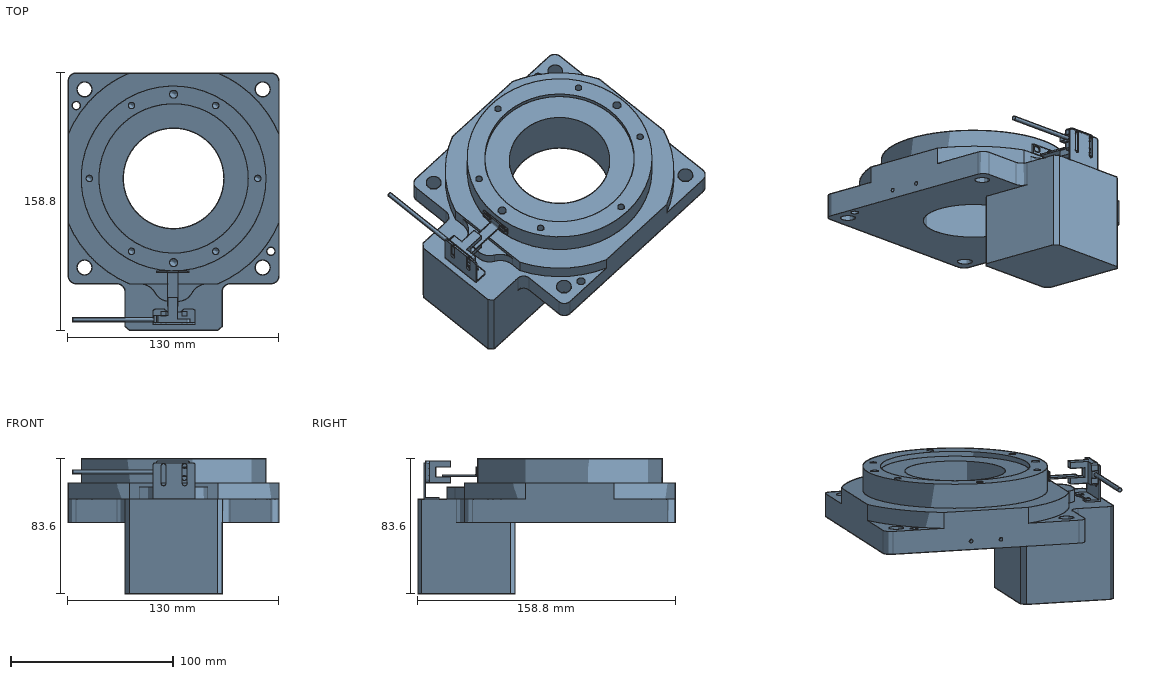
import cadquery as cq
import math


base_size = 130.0
base_half = base_size / 2
base_thickness = 14.5
base_corner_radius = 5.0
disc_radius = 70.5
disc_height = 10.0
table_radius = 57.0
table_height = 15.1
disc_top = base_thickness + disc_height
table_top = disc_top + table_height
bore_radius = 31.0
recess_radius = 46.0
recess_depth = 3.0

mount_hole_pitch = 109.9
mount_hole_diameter = 9.0
dowel_x = 60.0
dowel_y = 45.0
dowel_diameter = 5.0
table_hole_circle_radius = 52.0
table_hole_count = 6
table_hole_diameter = 4.0
table_pin_hole_diameter = 5.0
table_hole_depth = 8.0
drill_point_angle = 118
side_hole_pitch = 19.2
side_hole_diameter = 2.2
side_hole_z = 5.4
side_hole_depth = 4.8

total_length = 158.8
motor_size = 60.0
motor_drop = 44.0
motor_front_y = base_half - total_length
motor_rear_y = motor_front_y + motor_size
motor_chamfer_x = 2.9
motor_front_chamfer_y = 2.4
motor_rear_chamfer_y = 3.0
boss_half_width = 21.0
boss_depth = 10.8
boss_height = 7.5
boss_foot_radius = 11.1
boss_crown_radius = 9.8

flag_x = -0.5
flag_sheet = 1.0
flag_bend_radius = 0.8
flag_inner_bend_radius = 0.5
flag_width = 20.0
flag_height = 6.0
flag_bottom = 28.5
tongue_width = 6.5
tongue_end_y = -78.6
flag_slot_pitch = 12.7
flag_slot_length = 5.5
flag_slot_height = 3.5
flag_slot_z = flag_bottom + 3.5

bracket_x = 0.3
bracket_width = 26.0
bracket_height = 22.4
bracket_sheet = 1.1
bracket_foot_length = 9.4
bracket_bend_radius = 0.5
foot_slot_width = 3.0
foot_slot_length = 2.9
foot_slot_inset = 1.5
foot_notch_outer_width = 12.0
foot_notch_inner_width = 8.3
foot_notch_depth = 1.6
bracket_front_y = -90.0
bracket_corner_radius = 1.5
bracket_slot_pitch = 13.0
bracket_slot_width = 3.0
bracket_slot_length = 13.7
bracket_slot_top_margin = 0.5

sensor_z = 31.3
sensor_height = 13.7
sensor_left_x = -10.6
sensor_right_x = 10.0
sensor_front_y = bracket_front_y + bracket_sheet
sensor_left_thickness = 4.3
sensor_right_thickness = 2.2
sensor_left_chamfer = 1.0
sensor_right_radius = 1.7
stem_left_x = -3.5
stem_right_x = 2.5
stem_end_y = -73.5
gap_height = 6.0
gap_back_y = -82.7
ear_hole_x = 6.7
ear_hole_pitch = 7.5
ear_hole_diameter = 3.0
cable_block_length = 1.5
cable_block_height = 4.5
cable_diameter = 2.5
cable_y = -87.2
cable_end_x = -62.2


def box(x_range, y_range, z_range):
    """Axis-aligned box given by its (low, high) limits along each axis."""
    lows, highs = zip(x_range, y_range, z_range)
    sizes = [high - low for low, high in zip(lows, highs)]
    return cq.Workplane("XY").box(*sizes, centered=False).translate(lows)


def make_base():
    """Square base plate with the raised disc trimmed by the same square."""
    plate = (
        cq.Workplane("XY")
        .rect(base_size, base_size)
        .extrude(base_thickness)
        .edges("|Z")
        .fillet(base_corner_radius)
    )
    square = cq.Workplane("XY").rect(base_size, base_size).extrude(disc_top)
    disc = cq.Workplane("XY").circle(disc_radius).extrude(disc_top).intersect(square)
    table = cq.Workplane("XY").workplane(offset=disc_top).circle(table_radius).extrude(table_height)
    return plate.union(disc).union(table)


def make_motor():
    """Motor housing: a square block with bevelled vertical corners."""
    half = motor_size / 2
    flat = half - motor_chamfer_x
    front_side_y = motor_front_y + motor_front_chamfer_y
    rear_side_y = motor_rear_y - motor_rear_chamfer_y
    return (
        cq.Workplane("XY")
        .workplane(offset=-motor_drop)
        .moveTo(-flat, motor_front_y)
        .lineTo(flat, motor_front_y)
        .lineTo(half, front_side_y)
        .lineTo(half, rear_side_y)
        .lineTo(flat, motor_rear_y)
        .lineTo(-flat, motor_rear_y)
        .lineTo(-half, rear_side_y)
        .lineTo(-half, front_side_y)
        .close()
        .extrude(motor_drop + base_thickness)
    )


def make_boss():
    """Bell-shaped boss on the motor: concave foot arcs running tangent into crown arcs."""
    sweep = math.acos(1 - boss_depth / (boss_foot_radius + boss_crown_radius))
    front_y = -base_half
    join_x = boss_half_width - boss_foot_radius * math.sin(sweep)
    join_y = front_y - boss_foot_radius * (1 - math.cos(sweep))
    crown_x = join_x - boss_crown_radius * math.sin(sweep)
    crown_y = front_y - boss_depth
    foot_mid_x = boss_half_width - boss_foot_radius * math.sin(sweep / 2)
    foot_mid_y = front_y - boss_foot_radius * (1 - math.cos(sweep / 2))
    crown_mid_x = crown_x + boss_crown_radius * math.sin(sweep / 2)
    crown_mid_y = crown_y + boss_crown_radius * (1 - math.cos(sweep / 2))
    return (
        cq.Workplane("XY")
        .workplane(offset=base_thickness)
        .moveTo(boss_half_width, front_y)
        .threePointArc((foot_mid_x, foot_mid_y), (join_x, join_y))
        .threePointArc((crown_mid_x, crown_mid_y), (crown_x, crown_y))
        .lineTo(-crown_x, crown_y)
        .threePointArc((-crown_mid_x, crown_mid_y), (-join_x, join_y))
        .threePointArc((-foot_mid_x, foot_mid_y), (-boss_half_width, front_y))
        .close()
        .extrude(boss_height)
    )


def make_table_hole(diameter, x, y):
    """Blind drilled hole with a conical bottom, sunk from the turntable top."""
    radius = diameter / 2
    point_depth = radius / math.tan(math.radians(drill_point_angle / 2))
    profile = [(0, 0), (radius, 0), (radius, -table_hole_depth), (0, -table_hole_depth - point_depth)]
    hole = cq.Workplane("XZ").polyline(profile).close().revolve(360, (0, 0), (0, 1))
    return hole.translate((x, y, table_top))


def cut_table_holes(stage):
    """Ring of holes around the turntable, plus two larger ones on the Y axis."""
    for index in range(table_hole_count):
        angle = index * 2 * math.pi / table_hole_count
        x = table_hole_circle_radius * math.cos(angle)
        y = table_hole_circle_radius * math.sin(angle)
        stage = stage.cut(make_table_hole(table_hole_diameter, x, y))
    for y in (-table_hole_circle_radius, table_hole_circle_radius):
        stage = stage.cut(make_table_hole(table_pin_hole_diameter, 0, y))
    return stage


def cut_base_holes(stage):
    """Corner mounting holes, two diagonal dowel holes and two holes in the -X side."""
    mount_holes = (
        cq.Workplane("XY")
        .rect(mount_hole_pitch, mount_hole_pitch, forConstruction=True)
        .vertices()
        .circle(mount_hole_diameter / 2)
        .extrude(disc_top)
    )
    dowel_holes = (
        cq.Workplane("XY")
        .pushPoints([(-dowel_x, dowel_y), (dowel_x, -dowel_y)])
        .circle(dowel_diameter / 2)
        .extrude(disc_top)
    )
    side_holes = (
        cq.Workplane("YZ")
        .workplane(offset=-base_half)
        .pushPoints([(-side_hole_pitch / 2, side_hole_z), (side_hole_pitch / 2, side_hole_z)])
        .circle(side_hole_diameter / 2)
        .extrude(side_hole_depth)
    )
    return stage.cut(mount_holes).cut(dowel_holes).cut(side_holes)


def make_neck_fillet(side):
    """Concave fillet between the base front and the motor flank; side is -1 or +1."""
    radius = base_corner_radius
    inner_x = side * motor_size / 2
    outer_x = inner_x + side * radius
    bulge = radius * (1 - math.sqrt(0.5))
    return (
        cq.Workplane("XY")
        .moveTo(inner_x, -base_half)
        .lineTo(outer_x, -base_half)
        .threePointArc(
            (inner_x + side * bulge, -base_half - bulge),
            (inner_x, -base_half - radius),
        )
        .close()
        .extrude(base_thickness)
    )


def make_stage():
    stage = make_base().union(make_motor()).union(make_boss())
    for side in (-1, 1):
        stage = stage.union(make_neck_fillet(side))
    bore = (
        cq.Workplane("XY")
        .workplane(offset=-motor_drop)
        .circle(bore_radius)
        .extrude(motor_drop + table_top)
    )
    recess = cq.Workplane("XY").workplane(offset=table_top).circle(recess_radius).extrude(-recess_depth)
    stage = stage.cut(bore).cut(recess)
    return cut_base_holes(cut_table_holes(stage))


def make_flag():
    """Bent sheet flag: slotted plate against the turntable and a tongue towards the sensor."""
    plate_back_y = -table_radius
    plate_front_y = plate_back_y - flag_sheet
    plate = box(
        (flag_x - flag_width / 2, flag_x + flag_width / 2),
        (plate_front_y, plate_back_y),
        (flag_bottom, flag_bottom + flag_height),
    )
    tongue = box(
        (flag_x - tongue_width / 2, flag_x + tongue_width / 2),
        (tongue_end_y, plate_back_y),
        (flag_bottom, flag_bottom + flag_sheet),
    )
    slot_offset = flag_slot_pitch / 2
    slots = (
        cq.Workplane("XZ", origin=(flag_x, plate_back_y, flag_slot_z))
        .pushPoints([(-slot_offset, 0), (slot_offset, 0)])
        .slot2D(flag_slot_length, flag_slot_height)
        .extrude(flag_sheet)
    )
    return round_bend(plate.cut(slots).union(tongue), plate_back_y, plate_front_y)


def round_bend(flag, plate_back_y, plate_front_y):
    """Round the outside and the inside of the fold between plate and tongue."""
    outer_fold = cq.NearestToPointSelector((flag_x, plate_back_y, flag_bottom))
    inner_fold = cq.NearestToPointSelector((flag_x, plate_front_y, flag_bottom + flag_sheet))
    flag = flag.edges(outer_fold).fillet(flag_bend_radius)
    return flag.edges(inner_fold).fillet(flag_inner_bend_radius)


def make_bracket():
    """Angle bracket: upright sheet with two slots, standing on a foot on the motor."""
    half = bracket_width / 2
    x_range = (bracket_x - half, bracket_x + half)
    bottom = base_thickness
    top = bottom + bracket_height
    upright = (
        box(x_range, (bracket_front_y, sensor_front_y), (bottom, top))
        .edges("|Y and >Z")
        .fillet(bracket_corner_radius)
    )
    foot_end_y = bracket_front_y + bracket_foot_length
    foot = (
        box(x_range, (bracket_front_y, foot_end_y), (bottom, bottom + bracket_sheet))
        .edges("|Z and >Y")
        .fillet(bracket_corner_radius)
    )
    slot_offset = bracket_slot_pitch / 2
    slot_z = top - bracket_slot_top_margin - bracket_slot_length / 2
    slots = (
        cq.Workplane("XZ", origin=(bracket_x, sensor_front_y, slot_z))
        .pushPoints([(-slot_offset, 0), (slot_offset, 0)])
        .slot2D(bracket_slot_length, bracket_slot_width, 90)
        .extrude(bracket_sheet)
    )
    foot = cut_foot(foot, foot_end_y)
    return upright.cut(slots).union(foot).edges("|X and <Y and <Z").fillet(bracket_bend_radius)


def cut_foot(foot, foot_end_y):
    """Two rectangular slots and a shallow tapered notch in the rear edge of the bracket foot."""
    slot_offset = bracket_slot_pitch / 2
    slot_y = foot_end_y - foot_slot_inset - foot_slot_length / 2
    plane = cq.Workplane("XY", origin=(bracket_x, 0, base_thickness))
    slots = (
        plane.pushPoints([(-slot_offset, slot_y), (slot_offset, slot_y)])
        .rect(foot_slot_width, foot_slot_length)
        .extrude(bracket_sheet)
    )
    notch = (
        plane.moveTo(-foot_notch_outer_width / 2, foot_end_y)
        .lineTo(-foot_notch_inner_width / 2, foot_end_y - foot_notch_depth)
        .lineTo(foot_notch_inner_width / 2, foot_end_y - foot_notch_depth)
        .lineTo(foot_notch_outer_width / 2, foot_end_y)
        .close()
        .extrude(bracket_sheet)
    )
    return foot.cut(slots).cut(notch)


def make_sensor():
    """Slotted sensor: flange against the bracket, forked stem and cable."""
    z_range = (sensor_z - sensor_height / 2, sensor_z + sensor_height / 2)
    gap_z_range = (sensor_z - gap_height / 2, sensor_z + gap_height / 2)
    left_rear_y = sensor_front_y + sensor_left_thickness
    right_rear_y = sensor_front_y + sensor_right_thickness

    left_ear = (
        box((sensor_left_x, stem_right_x), (sensor_front_y, left_rear_y), z_range)
        .edges("|Y and <X")
        .chamfer(sensor_left_chamfer)
    )
    right_ear = (
        box((stem_left_x, sensor_right_x), (sensor_front_y, right_rear_y), z_range)
        .edges("|Y and >X")
        .fillet(sensor_right_radius)
    )
    ear_holes = (
        cq.Workplane("XZ", origin=(ear_hole_x, right_rear_y, sensor_z))
        .pushPoints([(0, -ear_hole_pitch / 2), (0, ear_hole_pitch / 2)])
        .circle(ear_hole_diameter / 2)
        .extrude(sensor_right_thickness)
    )
    right_ear = right_ear.cut(ear_holes)

    stem = box((stem_left_x, stem_right_x), (sensor_front_y, stem_end_y), z_range)
    gap = box((stem_left_x, stem_right_x), (gap_back_y, stem_end_y), gap_z_range)
    sensor = left_ear.union(right_ear).union(stem.cut(gap))

    cable_block = box(
        (sensor_left_x - cable_block_length, sensor_left_x),
        (sensor_front_y, left_rear_y),
        (sensor_z - cable_block_height / 2, sensor_z + cable_block_height / 2),
    )
    cable = (
        cq.Workplane("YZ", origin=(cable_end_x, cable_y, sensor_z))
        .circle(cable_diameter / 2)
        .extrude(sensor_left_x - cable_end_x)
    )
    return sensor.union(cable_block).union(cable)


stage = make_stage()
flag = make_flag()
bracket = make_bracket()
sensor = make_sensor()

bodies = [stage, flag, bracket, sensor]
result = cq.Compound.makeCompound([body.solids().val() for body in bodies])